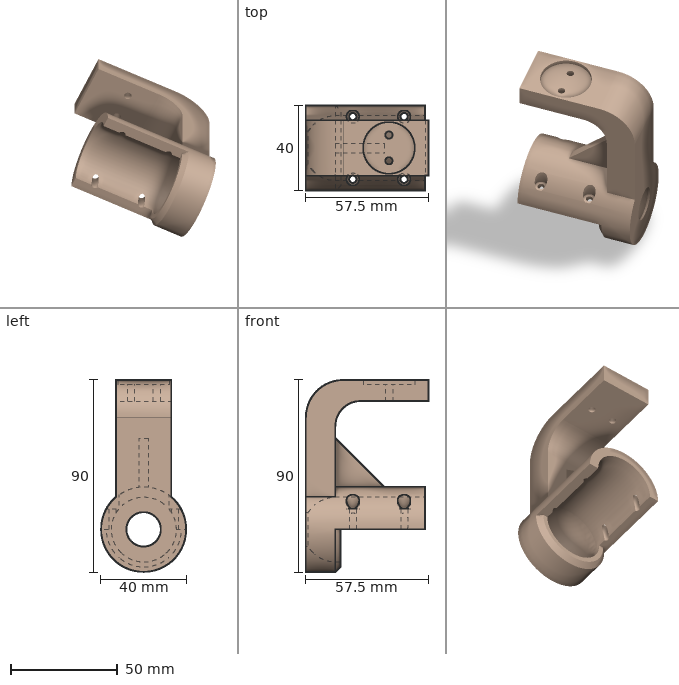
import cadquery as cq

body_diameter = 40.0
body_radius = body_diameter / 2
axis_height = body_radius
body_length = 55.9
collar_length = 16.4
bore_diameter = 16.0

total_height = 90
arm_reach = 57.5
arm_width = 26.0
post_thickness = 13.95
shelf_thickness = 10.0
outer_bend_radius = 17.6
inner_bend_radius = 11.7
collar_chamfer = collar_length - post_thickness

socket_diameter = 30.4
socket_start = post_thickness

gusset_leg = 22.8
gusset_width = 4.5

screw_first_x = 22.05
screw_pitch_x = 24.0
screw_offset_y = 14.7
screw_diameter = 3.3
screw_head_diameter = 5.9
screw_seat_above_axis = 9.7
screw_seat_height = axis_height + screw_seat_above_axis

recess_x = 39.0
recess_diameter = 24.2
recess_depth = 2.0
recess_hole_diameter = 3.4
recess_hole_offset = 6.0


def cylinder_x(diameter, length):
    """Cylinder on the body axis, starting at X = 0."""
    return cq.Workplane("YZ").center(0, axis_height).circle(diameter / 2).extrude(length)


def cylinder_z(x, y, diameter, bottom, top):
    """Vertical cylinder between two heights."""
    return cq.Workplane("XY", origin=(x, y, bottom)).circle(diameter / 2).extrude(top - bottom)


def clamp_body():
    collar = cylinder_x(body_diameter, collar_length).faces(">X").chamfer(collar_chamfer)
    upper_half = cq.Workplane("XY").box(
        body_length, body_diameter, body_radius, centered=(False, True, False)
    ).translate((0, 0, axis_height))
    return collar.union(cylinder_x(body_diameter, body_length).intersect(upper_half))


def bent_arm():
    outline = (
        cq.Workplane("XZ")
        .moveTo(0, axis_height)
        .lineTo(0, total_height - outer_bend_radius)
        .tangentArcPoint((outer_bend_radius, outer_bend_radius))
        .lineTo(arm_reach, total_height)
        .lineTo(arm_reach, total_height - shelf_thickness)
        .lineTo(post_thickness + inner_bend_radius, total_height - shelf_thickness)
        .tangentArcPoint((-inner_bend_radius, -inner_bend_radius))
        .lineTo(post_thickness, axis_height)
        .close()
    )
    return outline.extrude(arm_width / 2, both=True)


def gusset():
    outline = cq.Workplane("XZ").polyline([
        (post_thickness, axis_height),
        (post_thickness, body_diameter + gusset_leg),
        (post_thickness + gusset_leg, body_diameter),
        (post_thickness + gusset_leg, axis_height),
    ]).close()
    return outline.extrude(gusset_width / 2, both=True)


def socket():
    channel = cylinder_x(socket_diameter, body_length - socket_start).translate((socket_start, 0, 0))
    nose = cq.Workplane("XY").sphere(socket_diameter / 2).translate((socket_start, 0, axis_height))
    return channel.union(nose)


def screw_holes():
    holes = cq.Workplane("XY")
    for x in (screw_first_x, screw_first_x + screw_pitch_x):
        for y in (-screw_offset_y, screw_offset_y):
            holes = holes.add(cylinder_z(x, y, screw_diameter, axis_height, body_diameter))
            holes = holes.add(cylinder_z(x, y, screw_head_diameter, screw_seat_height, body_diameter))
    return holes.combine()


def shelf_recess():
    underside = total_height - shelf_thickness
    recess = cylinder_z(recess_x, 0, recess_diameter, total_height - recess_depth, total_height)
    rear = cylinder_z(recess_x, recess_hole_offset, recess_hole_diameter, underside, total_height)
    front = cylinder_z(recess_x, -recess_hole_offset, recess_hole_diameter, underside, total_height)
    return recess.union(rear).union(front)


bracket = clamp_body().union(bent_arm()).union(gusset())
result = bracket.cut(cylinder_x(bore_diameter, body_length)).cut(socket()).cut(screw_holes()).cut(shelf_recess())